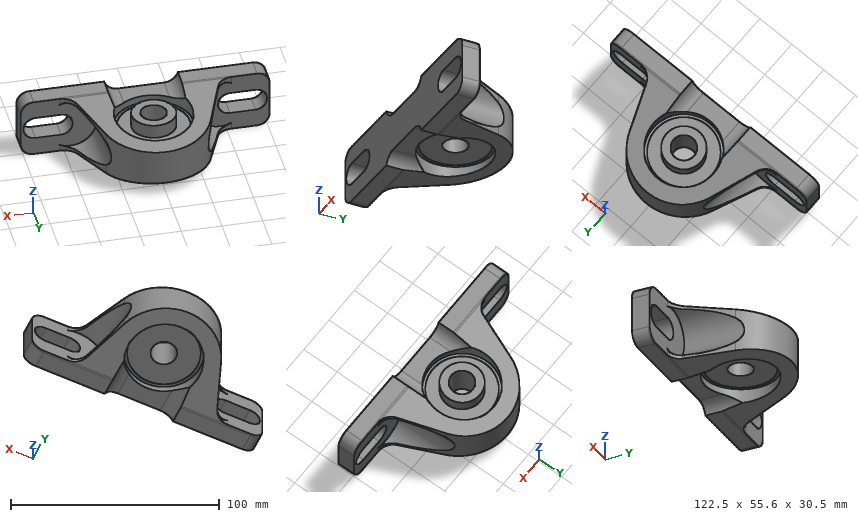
import cadquery as cq
import math

base_length = 122.5
base_height = 30.5
base_thickness = 9.5
base_corner_radius = 6.4
edge_band_height = 0.9
edge_band_inset = 0.1

slot_width = 11.5
slot_length = 24.1
slot_center_x = 47.8

bore_center_y = 28.0
crown_radius = 27.6
flank_angle = math.radians(21.0)
flank_root_radius = 8.3
taper_angle = math.radians(7.6)
housing_embed = 3.7
root_overlap = 3.7

scoop_radius = 12.9
scoop_center_x = 36.8

seat_radius = 19.1
outer_ring_radius = 17.6
bearing_rim_z = 6.4
bearing_seal_z = 6.1
inner_ring_radius = 10.9
inner_ring_top_z = 13.2
shaft_radius = 6.4
notch_floor_z = 10.2
notch_floor_half_width = 11.3
notch_half_width = 18.1

half_height = base_height / 2
crown_y = bore_center_y + crown_radius
root_half_height = half_height - edge_band_inset
wedge_end_y = crown_y + 6.1
wedge_end_half_height = root_half_height - (wedge_end_y - base_thickness) * math.tan(taper_angle)


def make_base():
    """Rounded plate whose rim leans in slightly just below its housing face."""
    plate = (
        cq.Workplane("XZ")
        .rect(base_length, base_height)
        .extrude(-base_thickness)
        .edges("|Y")
        .fillet(base_corner_radius)
    )
    return plate.faces(">Y").chamfer(edge_band_height, edge_band_inset)


def housing_outline():
    """Crown arc, straight flanks and concave roots running out tangent to the base."""
    cos_a = math.cos(flank_angle)
    sin_a = math.sin(flank_angle)
    crown_end = (crown_radius * cos_a, bore_center_y + crown_radius * sin_a)
    root_center_y = base_thickness + flank_root_radius
    flank_end_y = root_center_y - flank_root_radius * sin_a
    flank_end_x = crown_end[0] + (crown_end[1] - flank_end_y) * math.tan(flank_angle)
    root_center_x = flank_end_x + flank_root_radius * cos_a
    mid_angle = (flank_angle + math.pi / 2) / 2
    root_mid = (
        root_center_x - flank_root_radius * math.cos(mid_angle),
        root_center_y - flank_root_radius * math.sin(mid_angle),
    )
    toe_x = root_center_x + root_overlap
    bottom_y = base_thickness - housing_embed
    return (
        cq.Workplane("XY")
        .moveTo(-toe_x, bottom_y)
        .lineTo(-toe_x, base_thickness)
        .lineTo(-root_center_x, base_thickness)
        .threePointArc((-root_mid[0], root_mid[1]), (-flank_end_x, flank_end_y))
        .lineTo(-crown_end[0], crown_end[1])
        .threePointArc((0, crown_y), crown_end)
        .lineTo(flank_end_x, flank_end_y)
        .threePointArc(root_mid, (root_center_x, base_thickness))
        .lineTo(toe_x, base_thickness)
        .lineTo(toe_x, bottom_y)
        .close()
    )


def make_arch():
    """Housing outline cut to a wedge in Z."""
    wedge = (
        cq.Workplane("YZ")
        .polyline(
            [
                (0, root_half_height),
                (base_thickness, root_half_height),
                (wedge_end_y, wedge_end_half_height),
                (wedge_end_y, -wedge_end_half_height),
                (base_thickness, -root_half_height),
                (0, -root_half_height),
            ]
        )
        .close()
        .extrude(base_length / 2, both=True)
    )
    return housing_outline().extrude(half_height, both=True).intersect(wedge)


def make_scoops():
    """Cylinders along Y that hollow out both flanks above the base."""
    return (
        cq.Workplane("XZ", origin=(0, base_thickness, 0))
        .pushPoints([(-scoop_center_x, 0), (scoop_center_x, 0)])
        .circle(scoop_radius)
        .extrude(-crown_y)
    )


def make_notch():
    """Rounded channel across one broad side, open through the base into the seat."""
    rise = half_height - notch_floor_z
    run = notch_half_width - notch_floor_half_width
    radius = (run**2 + rise**2) / (2 * rise)
    mid_angle = math.asin(run / radius) / 2
    mid_x = notch_floor_half_width + radius * math.sin(mid_angle)
    mid_z = notch_floor_z + radius * (1 - math.cos(mid_angle))
    return (
        cq.Workplane("XZ")
        .moveTo(-notch_half_width, half_height)
        .threePointArc((-mid_x, mid_z), (-notch_floor_half_width, notch_floor_z))
        .lineTo(notch_floor_half_width, notch_floor_z)
        .threePointArc((mid_x, mid_z), (notch_half_width, half_height))
        .close()
        .extrude(-bore_center_y)
    )


def bearing_disc(radius, bottom_z, top_z):
    """Disc on the bore axis between two heights."""
    return (
        cq.Workplane("XY", origin=(0, bore_center_y, bottom_z))
        .circle(radius)
        .extrude(top_z - bottom_z)
    )


def make_seat():
    """Notch and bearing seat on the +Z side, with the outer ring standing proud of the seal."""
    rim_recess = bearing_disc(seat_radius, bearing_rim_z, half_height)
    seal_recess = bearing_disc(outer_ring_radius, bearing_seal_z, half_height)
    return make_notch().union(rim_recess).union(seal_recess)


def make_slots():
    """Round-ended slots through both ends of the base."""
    return (
        cq.Workplane("XZ")
        .pushPoints([(-slot_center_x, 0), (slot_center_x, 0)])
        .slot2D(slot_length, slot_width)
        .extrude(-base_thickness)
    )


seat = make_seat()
result = make_base().union(make_arch().cut(make_scoops()))
result = result.cut(seat).cut(seat.mirror("XY")).cut(make_slots())
result = result.union(bearing_disc(inner_ring_radius, 0, inner_ring_top_z))
result = result.cut(bearing_disc(shaft_radius, -half_height, half_height))